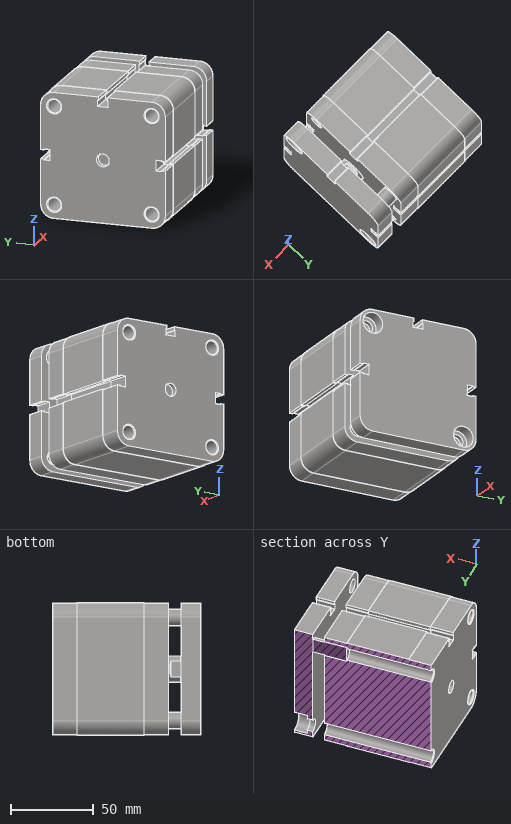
import cadquery as cq

overall_length = 89.5
housing_length = 70.0
cap_length = 14.8
plate_thickness = 12.0
plate_face_x = overall_length - plate_thickness
barrel_length = housing_length - 2 * cap_length

barrel_size = 80.0
cap_size = 79.6
cap_corner_radius = 8.5
barrel_corner_radius = cap_corner_radius + (barrel_size - cap_size) / 2

cap_slot_mouth = 5.8
barrel_slot_mouth = 5.0
barrel_slot_inner_width = 6.6
barrel_slot_floor = 33.8
slot_clearance = 0.1
cap_slot_inner_width = barrel_slot_inner_width + 2 * slot_clearance
cap_slot_floor = barrel_slot_floor - slot_clearance
slot_lip = 37.5
slot_sides = (-90, 0, 90)

hole_offset = 31.1
hole_diameter = 8.5
hole_chamfer = 0.5
counterbore_diameter = 13.4
counterbore_floor = 3.7
centre_hole_diameter = 8.05
centre_hole_depth = 3.5

guide_diameter = 10.1
guide_engagement = cap_length
guide_corners = ((1, 1), (-1, -1))
open_corners = ((1, -1), (-1, 1))

rod_diameter = 16.0
rod_flat_width = 12.9
rod_collar = 0.8
rod_flat_runout = 0.6
rod_chamfer = 0.4
rod_engagement = cap_length


def cylinder(diameter, x_start, x_end, y=0.0, z=0.0):
    """Cylinder along X."""
    return (
        cq.Workplane("YZ", origin=(x_start, y, z))
        .circle(diameter / 2)
        .extrude(x_end - x_start)
    )


def t_slot(outer_face, mouth_width, inner_width, floor, x_start, length):
    """Volume of a T-slot along X that opens at the top."""
    start = cq.Workplane("YZ", origin=(x_start, 0, 0))
    mouth = (
        start.center(0, (outer_face + floor) / 2)
        .rect(mouth_width, outer_face - floor)
        .extrude(length)
    )
    inner = (
        start.center(0, (slot_lip + floor) / 2)
        .rect(inner_width, slot_lip - floor)
        .extrude(length)
    )
    return mouth.union(inner)


def cap_block(x_start, length):
    """Block with the section shared by the end caps and the end plate."""
    return slotted_block(
        cap_size,
        cap_corner_radius,
        cap_slot_mouth,
        cap_slot_inner_width,
        cap_slot_floor,
        x_start,
        length,
    )


def slotted_block(size, corner_radius, slot_mouth, slot_inner_width, slot_floor, x_start, length):
    """Rounded square block along X with a T-slot in its top and both Y sides."""
    block = (
        cq.Workplane("YZ", origin=(x_start, 0, 0))
        .rect(size, size)
        .extrude(length)
        .edges("|X")
        .fillet(corner_radius)
    )
    slot = t_slot(size / 2, slot_mouth, slot_inner_width, slot_floor, x_start, length)
    for angle in slot_sides:
        block = block.cut(slot.rotate((0, 0, 0), (1, 0, 0), angle))
    return block


def corner_hole(x_start, x_end, side_y, side_z):
    """Round hole along X at one corner with a chamfer at its -X mouth."""
    y = side_y * hole_offset
    z = side_z * hole_offset
    radius = hole_diameter / 2
    mouth = cq.Workplane(
        cq.Solid.makeCone(
            radius + hole_chamfer, radius, hole_chamfer, cq.Vector(x_start, y, z), cq.Vector(1, 0, 0)
        )
    )
    return cylinder(hole_diameter, x_start, x_end, y, z).union(mouth)


def make_guide(side_y, side_z):
    """Guide pin between the housing and the end plate."""
    return cylinder(
        guide_diameter,
        housing_length - guide_engagement,
        plate_face_x,
        side_y * hole_offset,
        side_z * hole_offset,
    )


def make_rod():
    """Piston rod with wrench flats on its top and bottom."""
    rod = cylinder(rod_diameter, housing_length - rod_engagement, plate_face_x)
    rod = rod.faces(">X").chamfer(rod_chamfer)
    rod_radius = rod_diameter / 2
    flat_height = rod_flat_width / 2
    slope_start = housing_length + rod_collar
    flat = (
        cq.Workplane("XZ")
        .moveTo(slope_start, rod_radius)
        .lineTo(slope_start + rod_flat_runout, flat_height)
        .lineTo(plate_face_x, flat_height)
        .lineTo(plate_face_x, rod_radius)
        .close()
        .extrude(rod_radius, both=True)
    )
    return rod.cut(flat).cut(flat.mirror("XY"))


def make_housing(rod, guides):
    """Barrel between two end caps, in one piece."""
    housing = slotted_block(
        barrel_size,
        barrel_corner_radius,
        barrel_slot_mouth,
        barrel_slot_inner_width,
        barrel_slot_floor,
        cap_length,
        barrel_length,
    )
    for x_start in (0, cap_length + barrel_length):
        housing = housing.union(cap_block(x_start, cap_length))
    for side_y, side_z in guide_corners + open_corners:
        housing = housing.cut(corner_hole(0, housing_length, side_y, side_z))
    housing = housing.cut(cylinder(centre_hole_diameter, 0, centre_hole_depth))
    for inserted in [rod] + guides:
        housing = housing.cut(inserted)
    return housing


def make_end_plate():
    """Slotted plate in front of the housing with two corner holes counterbored from its +X face."""
    plate = cap_block(plate_face_x, plate_thickness)
    for side_y, side_z in open_corners:
        y = side_y * hole_offset
        z = side_z * hole_offset
        plate = plate.cut(cylinder(hole_diameter, plate_face_x, overall_length, y, z))
        plate = plate.cut(
            cylinder(counterbore_diameter, plate_face_x + counterbore_floor, overall_length, y, z)
        )
    return plate


rod = make_rod()
guides = [make_guide(side_y, side_z) for side_y, side_z in guide_corners]
housing = make_housing(rod, guides)
end_plate = make_end_plate()

result = cq.Compound.makeCompound(
    [housing.val(), rod.val(), *[guide.val() for guide in guides], end_plate.val()]
)